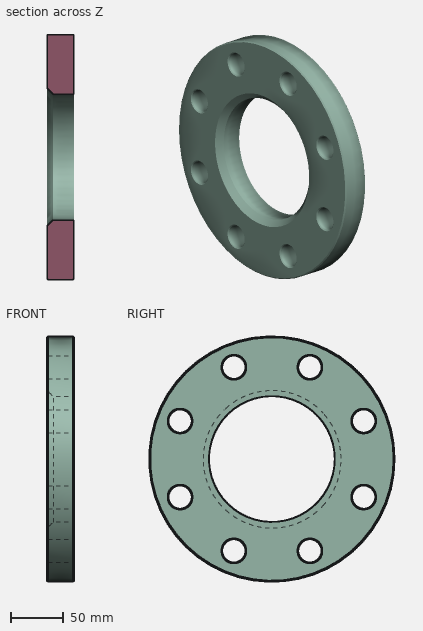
import cadquery as cq

outer_diameter = 235.0
thickness = 26.0
bore_diameter = 120.0
bore_chamfer = 5.9
edge_chamfer = 1.2

hole_count = 8
hole_diameter = 22.0
hole_chamfer = 1.0
bolt_circle_diameter = 190.0
first_hole_angle = 360 / hole_count / 2


def disc(diameter, length, start_x):
    return cq.Workplane("YZ", origin=(start_x, 0, 0)).circle(diameter / 2).extrude(length)


def make_ring():
    """Disc with both rims chamfered and a bore countersunk on the -X face."""
    front_x = -thickness / 2
    body = disc(outer_diameter, thickness, front_x).faces("<X or >X").chamfer(edge_chamfer)
    bore = disc(bore_diameter, thickness, front_x)
    countersink = (
        cq.Workplane("YZ", origin=(front_x, 0, 0))
        .circle(bore_diameter / 2 + bore_chamfer)
        .workplane(offset=bore_chamfer)
        .circle(bore_diameter / 2)
        .loft(ruled=True)
    )
    return body.cut(bore).cut(countersink)


def cut_bolt_holes(ring):
    """Through holes, each chamfered at both faces."""
    mouth_radius = hole_diameter / 2 + hole_chamfer
    front_x = -thickness / 2
    back_x = thickness / 2
    hole_profile = [
        (front_x, 0),
        (front_x, mouth_radius),
        (front_x + hole_chamfer, hole_diameter / 2),
        (back_x - hole_chamfer, hole_diameter / 2),
        (back_x, mouth_radius),
        (back_x, 0),
    ]
    hole = (
        cq.Workplane("XY")
        .polyline(hole_profile)
        .close()
        .revolve(360, (0, 0, 0), (1, 0, 0))
        .translate((0, bolt_circle_diameter / 2, 0))
    )
    for index in range(hole_count):
        angle = first_hole_angle + index * 360 / hole_count
        ring = ring.cut(hole.rotate((0, 0, 0), (1, 0, 0), angle))
    return ring


result = cut_bolt_holes(make_ring())